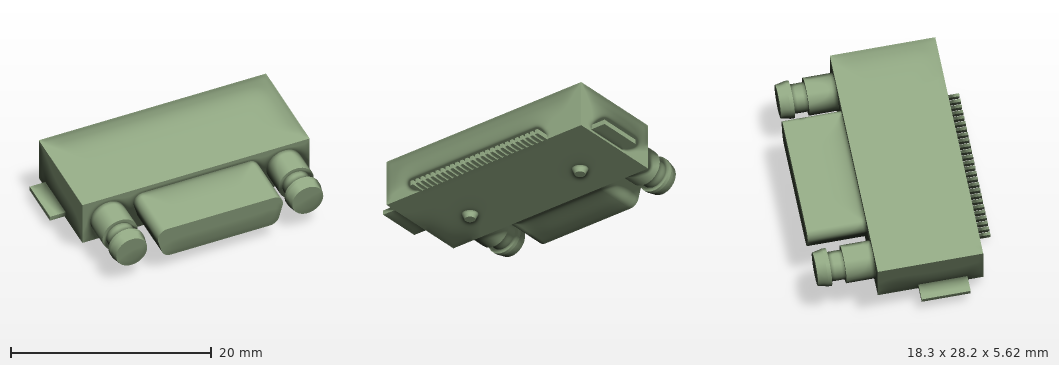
import cadquery as cq
import math

body_length = 10.72
body_width = 24.8
body_height = 5.02

pin_count = 26
pin_row_span = 15.88
pin_pitch = pin_row_span / (pin_count - 1)
pin_width = 0.35
pin_thickness = 0.5
pin_length = 1.58
pin_drop = 0.08

overall_width = 28.2
tab_length = 5.0
tab_thickness = 0.5
tab_offset = 1.6
tab_lift = 0.25

peg_offset = 6.6
peg_spacing = 14.02
peg_top_diameter = 1.7
peg_tip_diameter = 1.1
peg_height = 0.6

shroud_length = 6.0
shroud_width = 13.65
shroud_height = 3.52
shroud_axis_height = 2.57
shroud_corner_radius = 1.05
shroud_side_angle = math.radians(15)

post_spacing = 19.2
post_axis_height = body_height / 2
post_radius = 1.92
post_neck_radius = 1.5
post_tip_radius = 1.7
post_base_length = 3.0
post_neck_length = 1.47
post_rim_length = 0.4
post_taper_length = 1.0


def corner_box(length, width, height, x, z):
    """Box centred on Y with its back lower edge at (x, z)."""
    return (
        cq.Workplane("XY")
        .box(length, width, height, centered=(False, True, False))
        .translate((x, 0, z))
    )


def solder_pin(y):
    pin = corner_box(pin_length, pin_width, pin_thickness, -pin_length, -pin_drop)
    return pin.translate((0, y, 0))


def locating_peg(y):
    """Peg tapering downwards from the underside."""
    cone = cq.Solid.makeCone(
        peg_top_diameter / 2,
        peg_tip_diameter / 2,
        peg_height,
        pnt=cq.Vector(peg_offset, y, 0),
        dir=cq.Vector(0, 0, -1),
    )
    return cq.Workplane(cone)


def guide_post(y):
    """Revolved post: base, groove, rim and tapered tip."""
    base_end = body_length + post_base_length
    neck_end = base_end + post_neck_length
    rim_end = neck_end + post_rim_length
    tip_end = rim_end + post_taper_length
    profile = (
        cq.Workplane("XZ")
        .moveTo(body_length, 0)
        .lineTo(body_length, post_radius)
        .lineTo(base_end, post_radius)
        .lineTo(base_end, post_neck_radius)
        .lineTo(neck_end, post_neck_radius)
        .lineTo(neck_end, post_radius)
        .lineTo(rim_end, post_radius)
        .lineTo(tip_end, post_tip_radius)
        .lineTo(tip_end, 0)
        .close()
    )
    post = profile.revolve(360, (0, 0, 0), (1, 0, 0))
    return post.translate((0, y, post_axis_height))


def mating_shroud():
    """D-shaped bar whose slanted sides are tangent to the rounded corners."""
    radius = shroud_corner_radius
    lean_sin = math.sin(shroud_side_angle)
    lean_cos = math.cos(shroud_side_angle)
    arc_center_y = shroud_width / 2 - radius
    top_half_width = arc_center_y + radius * (1 + lean_sin) / lean_cos
    bottom_half_width = top_half_width - shroud_height * lean_sin / lean_cos
    top = shroud_axis_height + shroud_height / 2
    bottom = top - shroud_height
    outline = [
        (-top_half_width, top),
        (top_half_width, top),
        (bottom_half_width, bottom),
        (-bottom_half_width, bottom),
    ]
    bar = cq.Workplane("YZ", origin=(body_length, 0, 0)).polyline(outline).close()
    return bar.extrude(shroud_length).edges("|X").fillet(radius)


housing = corner_box(body_length, body_width, body_height, 0, 0)
tabs = corner_box(tab_length, overall_width, tab_thickness, tab_offset, tab_lift)
result = housing.union(tabs).union(mating_shroud())

for index in range(pin_count):
    pin_y = index * pin_pitch - pin_row_span / 2
    result = result.union(solder_pin(pin_y))

for side in (-1, 1):
    result = result.union(locating_peg(side * peg_spacing / 2))
    result = result.union(guide_post(side * post_spacing / 2))